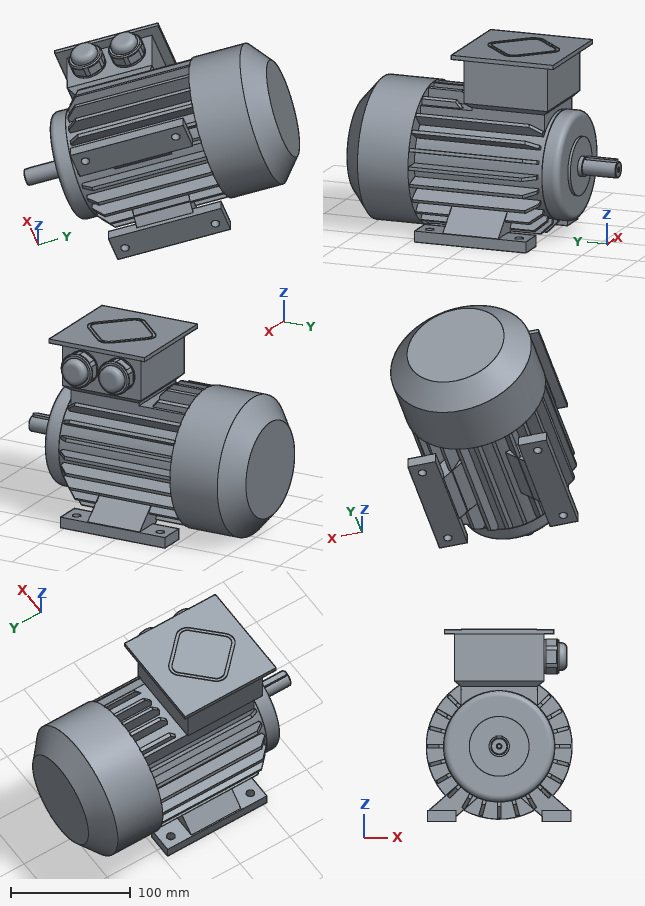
import cadquery as cq
import math


shaft_dia = 14.0
shaft_tip_chamfer = 0.7
centre_hole_dia = 3.2
centre_hole_depth = 4.5
centre_hole_chamfer = 0.7
key_width = 5.0
key_start_y = 0.7
key_end_y = 29.7
key_top_z = 8.6
key_depth = 3.5
shoulder_dia = 17.0
shoulder_y = 30.0
boss_dia = 50.0
boss_y = 33.5
flange_dia = 93.0
flange_y = 35.9
flange_back_y = 50.8
flange_fillet = 5.2

core_dia = 92.0
body_front_y = 54.3
fin_radius = 59.7
fin_thickness = 3.0
fin_chamfer = 9.5
fin_pitch = 15.0
first_fin_angle = -225.0
last_fin_angle = 45.0
top_fin_front_y = 128.7
top_fin_chamfer = 6.4
top_fin_offsets = (-27.0, -12.0, 0.0, 12.0, 27.0)
saddle_width = 63.5
saddle_top_z = 47.5

length = 227.0
cover_dia = 122.0
cover_front_y = 165.0
cover_cone_y = 210.2
cover_back_dia = 84.0

shaft_height = 62.9
foot_top_z = -53.3
foot_inner_x = 35.9
foot_outer_x = 60.0
foot_front_y = 60.0
foot_back_y = 159.5
foot_hole_dia = 7.0
foot_hole_x = 50.0
foot_hole_spacing = 80.0
strut_front_y = 85.1
strut_back_y = 134.8
strut_angle = 41.5
strut_outer_x = 58.5
strut_inner_z = -58.5
strut_end_x = -16.0

box_centre_y = 86.7
box_width = 75.0
box_bottom_z = 54.7
neck_top_z = 50.0
neck_length = 2 * (box_centre_y - body_front_y)
lid_width = 91.3
lid_bottom_z = 93.8
lid_top_z = 97.4
rim_height = 0.7
rim_centre_y = 85.1
rim_side = 50.0
rim_corner_radius = 9.5
rim_band = 2.7

gland_spacing = 35.2
gland_z = 75.0
collar_dia = 28.5
collar_length = 1.8
nut_dia = 29.5
nut_across_flats = 27.2
nut_flat_length = 8.5
nut_length = 10.5
nut_chamfer = 1.1
dome_dia = 23.2
dome_length = 6.8
dome_fillet = 4.8


def rod(diameter, y_start, y_end):
    """Cylinder on the shaft axis between two Y positions."""
    plane = cq.Plane(origin=(0, y_start, 0), xDir=(1, 0, 0), normal=(0, 1, 0))
    return cq.Workplane(plane).circle(diameter / 2).extrude(y_end - y_start)


def block(x_range, y_range, z_range):
    """Axis-aligned box given by its limits."""
    limits = (x_range, y_range, z_range)
    sizes = [high - low for low, high in limits]
    corner = tuple(low for low, high in limits)
    return cq.Workplane("XY").box(*sizes, centered=False).translate(corner)


def make_shaft():
    """Stepped shaft with a round-ended key and a countersunk centre hole in its tip."""
    shaft = rod(shaft_dia, 0, shoulder_y).faces("<Y").chamfer(shaft_tip_chamfer)
    shaft = shaft.union(rod(shoulder_dia, shoulder_y, boss_y))
    key_length = key_end_y - key_start_y
    key = (
        cq.Workplane("XY", origin=(0, key_start_y + key_length / 2, key_top_z - key_depth))
        .slot2D(key_length, key_width, 90)
        .extrude(key_depth)
    )
    shaft = shaft.union(key).cut(rod(centre_hole_dia, 0, centre_hole_depth))
    smallest_circle = cq.selectors.RadiusNthSelector(0)
    return shaft.faces("<Y").edges(smallest_circle).chamfer(centre_hole_chamfer)


def make_flange():
    """Front flange with a rounded rim and a low round boss."""
    flange = rod(flange_dia, flange_y, flange_back_y).faces("<Y").edges().fillet(flange_fillet)
    return flange.union(rod(boss_dia, boss_y, flange_y))


def make_fan_cover():
    """Cylinder that tapers to a cone at the back."""
    cover_radius = cover_dia / 2
    return (
        cq.Workplane("XY")
        .moveTo(0, cover_front_y)
        .lineTo(cover_radius, cover_front_y)
        .lineTo(cover_radius, cover_cone_y)
        .lineTo(cover_back_dia / 2, length)
        .lineTo(0, length)
        .close()
        .revolve(360, (0, 0, 0), (0, 1, 0))
    )


def fin_envelope(front_y, chamfer):
    """Turned solid that trims fins to their outer radius and chamfers their front ends."""
    return rod(2 * fin_radius, front_y, cover_front_y).faces("<Y").chamfer(chamfer)


def make_body():
    """Core with its fins and the flat-topped saddle below the terminal box."""
    y_range = (body_front_y, cover_front_y)
    half_saddle = saddle_width / 2
    saddle = block((-half_saddle, half_saddle), y_range, (0, saddle_top_z))
    body = rod(core_dia, flange_back_y, cover_front_y).union(saddle)

    half_fin = fin_thickness / 2
    radial_envelope = fin_envelope(body_front_y, fin_chamfer)
    fin = block((0, fin_radius), y_range, (-half_fin, half_fin)).intersect(radial_envelope)
    fin_count = round((last_fin_angle - first_fin_angle) / fin_pitch) + 1
    for i in range(fin_count):
        angle = first_fin_angle + i * fin_pitch
        body = body.union(fin.rotate((0, 0, 0), (0, 1, 0), -angle))

    top_envelope = fin_envelope(top_fin_front_y, top_fin_chamfer)
    for x in top_fin_offsets:
        top_fin = block((x - half_fin, x + half_fin), y_range, (0, fin_radius))
        body = body.union(top_fin.intersect(top_envelope))
    return body


def make_foot():
    """Foot on the -X side: drilled pad and a slanted strut up to the core."""
    pad = block(
        (-foot_outer_x, -foot_inner_x),
        (foot_front_y, foot_back_y),
        (-shaft_height, foot_top_z),
    )
    mid_y = (foot_front_y + foot_back_y) / 2
    holes = (
        cq.Workplane("XY", origin=(-foot_hole_x, mid_y, -shaft_height))
        .rarray(2.3, foot_hole_spacing, 1, 2)
        .circle(foot_hole_dia / 2)
        .extrude(shaft_height + foot_top_z)
    )
    slope = math.tan(math.radians(strut_angle))
    strut = (
        cq.Workplane("XZ", origin=(0, strut_back_y, 0))
        .moveTo(-strut_outer_x, foot_top_z)
        .lineTo(strut_end_x, foot_top_z + slope * (strut_outer_x + strut_end_x))
        .lineTo(strut_end_x, strut_inner_z + slope * (foot_inner_x + strut_end_x))
        .lineTo(-foot_inner_x, strut_inner_z)
        .lineTo(-foot_inner_x, foot_top_z)
        .close()
        .extrude(strut_back_y - strut_front_y)
    )
    return pad.cut(holes).union(strut)


def rounded_diamond(side, corner_radius):
    """Raised rounded square standing on its corner on top of the lid."""
    return (
        cq.Workplane("XY")
        .rect(side, side)
        .extrude(rim_height)
        .edges("|Z")
        .fillet(corner_radius)
        .rotate((0, 0, 0), (0, 0, 1), 45)
        .translate((0, rim_centre_y, lid_top_z))
    )


def make_terminal_box():
    """Neck, tapered bottom, square box, overhanging lid and the raised rim on the lid."""
    def on_level(z):
        return cq.Workplane("XY", origin=(0, box_centre_y, z))

    neck = on_level(0).rect(saddle_width, neck_length).extrude(neck_top_z)
    taper = (
        on_level(neck_top_z)
        .rect(saddle_width, neck_length)
        .workplane(offset=box_bottom_z - neck_top_z)
        .rect(box_width, box_width)
        .loft()
    )
    box = on_level(box_bottom_z).rect(box_width, box_width).extrude(lid_bottom_z - box_bottom_z)
    lid = on_level(lid_bottom_z).rect(lid_width, lid_width).extrude(lid_top_z - lid_bottom_z)
    rim = rounded_diamond(rim_side, rim_corner_radius).cut(
        rounded_diamond(rim_side - 2 * rim_band, rim_corner_radius - rim_band)
    )
    return neck.union(taper).union(box).union(lid).union(rim)


def make_gland(y):
    """Cable gland on the +X wall of the box: collar, hexagonal nut and domed cap."""
    def at_distance(offset):
        return cq.Workplane("YZ", origin=(box_width / 2 + offset, y, gland_z))

    collar = at_distance(0).circle(collar_dia / 2).extrude(collar_length)
    nut = (
        at_distance(collar_length)
        .circle(nut_dia / 2)
        .extrude(nut_length)
        .faces(">X")
        .chamfer(nut_chamfer)
    )
    hexagon = (
        at_distance(collar_length)
        .polygon(6, nut_across_flats, circumscribed=True)
        .extrude(nut_flat_length)
    )
    flats = at_distance(collar_length).circle(nut_dia).extrude(nut_flat_length).cut(hexagon)
    dome = (
        at_distance(collar_length + nut_length)
        .circle(dome_dia / 2)
        .extrude(dome_length)
        .faces(">X")
        .edges()
        .fillet(dome_fillet)
    )
    return collar.union(nut.cut(flats)).union(dome)


foot = make_foot()
result = make_body().union(make_flange()).union(make_shaft()).union(make_fan_cover())
result = result.union(foot).union(foot.mirror("YZ")).union(make_terminal_box())
for side in (-1, 1):
    result = result.union(make_gland(box_centre_y + side * gland_spacing / 2))